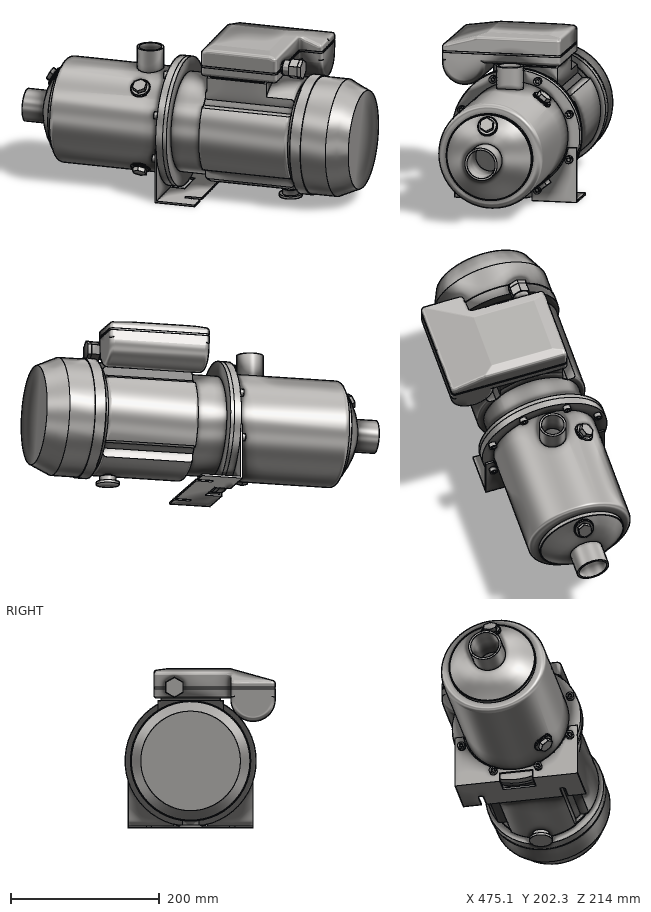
import cadquery as cq
import math


SUCTION_DIAMETER = 44.5
SUCTION_BORE = 38.95
SUCTION_LENGTH = 30.0
DOME_DIAMETER = 116.1
DOME_END_X = 48.2
DOME_COLLAR_DIAMETER = 118.5
CASING_FRONT_X = 53.2
CASING_FRONT_DIAMETER = 130.0
CASING_ROUND = 7.0
CASING_RADIUS = CASING_FRONT_DIAMETER / 2 + CASING_ROUND
FLANGE_X = 210.0
FLANGE_JOINT_X = 219.7
FLANGE_END_X = 225.0
FLANGE_DIAMETER = 176.5
DISCHARGE_X = 174.4
DISCHARGE_DIAMETER = 36.0
DISCHARGE_BORE = 30.29
DISCHARGE_TOP_Z = 101.0
INNER_CORE_RADIUS = 65.0

SCREW_COUNT = 8
SCREW_CIRCLE_RADIUS = 80.4
SCREW_SHANK = 7.0
SCREW_HEAD = 10.0
SCREW_HEAD_HEIGHT = 6.0
SCREW_SOCKET = 5.0
SCREW_SOCKET_DEPTH = 3.0

PLUG_FLANGE_DIAMETER = 27.0
PLUG_FLANGE_HEIGHT = 3.5
PLUG_SEAT_DEPTH = 2.0
PLUG_CHAMFER = 1.2
PLUG_HEX = 17.0
PLUG_PROJECTION = 7.5
PLUG_SIDE_ANGLE = 52.0
PLUG_DOME_ANGLE = 29.5

BOTTOM_Z = -90.0
SHEET = 2.5
BRACKET_HALF_WIDTH = 84.0
BRACKET_TOP_Z = -15.0
BRACKET_CLEARANCE_RADIUS = 74.0
FOOT_END_X = 263.7
WINDOW_WIDTH = 45.0
WINDOW_TOP_Z = -77.0
WINDOW_END_X = 230.0
FOOT_SLOT_WIDTH = 7.0
FOOT_SLOT_Y = 56.0
FOOT_SLOT_LENGTH = 19.0

ADAPTER_RADIUS = 68.0
STATOR_START_X = 266.0
STATOR_END_X = 391.0
STATOR_RADIUS = 76.3
STATOR_ROUND = 4.0
NOTCH_WALL = 44.0
NOTCH_CORNER = 50.5
REAR_SHIELD_RADIUS = 72.0
REAR_SHIELD_END_X = 394.0
REAR_SPIGOT_RADIUS = 66.0
COVER_START_X = 397.0
COVER_STEP_X = 411.5
COVER_TAPER_X = 446.8
MOTOR_END_X = 475.1
COVER_BAND_RADIUS = 81.0
COVER_RADIUS = 79.7
COVER_END_RADIUS = 67.0
PEDESTAL_START_X = 268.2
PEDESTAL_END_X = 352.0
PEDESTAL_TOP_Z = 81.0
NECK_INSET = 4.0
REAR_FOOT_X = 372.5
REAR_FOOT_LAYERS = [(31.0, -90.0, -86.5), (22.5, -86.5, -79.0), (10.0, -79.0, -70.0)]

BOX_START_X = 260.7
BOX_NARROW_END_X = 368.0
BOX_END_X = 399.7
BOX_MIN_Y = -49.5
BOX_STEP_Y = 54.0
BOX_MAX_Y = 114.0
BOX_BOTTOM_Z = 84.3
BOX_TOP_Z = 124.0
BOX_CORNER = 5.0
BOX_BOTTOM_ROUND = 4.0
PANEL_START_X = 274.3
PANEL_END_X = 353.3
PANEL_MIN_Y = -31.8
PANEL_MAX_Y = 54.0
SLOPE_START_X = 0.34
SLOPE_MIN_Y = 0.13
SLOPE_END_X = 0.36
SLOPE_MAX_Y = SLOPE_END_X * (BOX_END_X - PANEL_END_X) / (BOX_MAX_Y - PANEL_MAX_Y)
SEAM_Z = 98.0
SEAM_HEIGHT = 2.4
SEAM_DEPTH = 0.5
CAPACITOR_RADIUS = (BOX_MAX_Y - BOX_STEP_Y) / 2
CAPACITOR_ROUND = 6.5
CAPACITOR_BOTTOM_Z = 53.0
GLAND_Y = -21.8
GLAND_Z = 99.0
GLAND_DIAMETER = 21.0
GLAND_NECK_DIAMETER = 17.0
GLAND_NECK_END_X = 370.5
GLAND_NUT_X = 379.8
GLAND_END_X = 397.0
GLAND_NUT_FLATS = 23.0
GLAND_CAP_X = 392.0
GLAND_CAP_FLATS = 23.6

HEX_CORNERS = 2 / math.sqrt(3)


def block(x0, x1, y0, y1, z0, z1):
    """Box between two opposite corners."""
    return cq.Workplane("XY").box(x1 - x0, y1 - y0, z1 - z0, centered=False).translate((x0, y0, z0))


def disc(radius, x0, x1, y=0, z=0):
    """Cylinder along X from x0 to x1."""
    return cq.Workplane("YZ", origin=(x0, y, z)).circle(radius).extrude(x1 - x0)


def hex_bar(flats, x0, x1, y, z):
    """Hexagonal bar along X with two corners pointing up and down."""
    turned = cq.Workplane(cq.Plane((x0, y, z), xDir=(0, 0, 1), normal=(1, 0, 0)))
    return turned.polygon(6, flats * HEX_CORNERS).extrude(x1 - x0)


dome_radius_change = (DOME_DIAMETER**2 - SUCTION_DIAMETER**2) / 4
dome_length = DOME_END_X - SUCTION_LENGTH
dome_center_x = (SUCTION_LENGTH + DOME_END_X) / 2 + dome_radius_change / (2 * dome_length)
dome_radius = math.hypot(dome_center_x - DOME_END_X, DOME_DIAMETER / 2)


def dome_point(radius):
    """Profile point of the dome at a distance from the pump axis."""
    return (dome_center_x - math.sqrt(dome_radius**2 - radius**2), radius)


def make_plug(surface_point, direction):
    """Hexagon-headed plug whose flange sinks below the surface point."""
    toward_head = cq.Vector(*direction).normalized()
    seat = cq.Vector(*surface_point) - toward_head * PLUG_SEAT_DEPTH
    across = cq.Vector(0, 1, 0) if direction[1] == 0 else cq.Vector(1, 0, 0)
    side = toward_head.cross(across)
    base = cq.Workplane(cq.Plane(seat, xDir=side, normal=toward_head))
    flange = base.circle(PLUG_FLANGE_DIAMETER / 2).extrude(PLUG_FLANGE_HEIGHT)
    flange = flange.edges().filter(
        lambda edge: (edge.Center() - seat).dot(toward_head) > PLUG_FLANGE_HEIGHT / 2
    ).chamfer(PLUG_CHAMFER)
    head = base.polygon(6, PLUG_HEX * HEX_CORNERS).extrude(PLUG_SEAT_DEPTH + PLUG_PROJECTION)
    return flange.union(head)


def make_plugs():
    """One plug on the dome and two on the -Y side of the casing."""
    tilt = math.radians(PLUG_DOME_ANGLE)
    outward = (-math.cos(tilt), 0, math.sin(tilt))
    on_dome = (dome_center_x + dome_radius * outward[0], 0, dome_radius * outward[2])
    plugs = [make_plug(on_dome, outward)]
    for angle in (PLUG_SIDE_ANGLE, -PLUG_SIDE_ANGLE):
        y = -math.cos(math.radians(angle))
        z = math.sin(math.radians(angle))
        plugs.append(make_plug((DISCHARGE_X, CASING_RADIUS * y, CASING_RADIUS * z), (0, y, z)))
    return plugs


screw_positions = [
    (
        SCREW_CIRCLE_RADIUS * math.cos(math.radians((i + 0.5) * 360 / SCREW_COUNT)),
        SCREW_CIRCLE_RADIUS * math.sin(math.radians((i + 0.5) * 360 / SCREW_COUNT)),
    )
    for i in range(SCREW_COUNT)
]


def make_screw(y, z):
    """Socket-head screw; below the axis its head rests on the bracket sheet."""
    seat_x = FLANGE_X - (SHEET if z < 0 else 0)
    head_x = seat_x - SCREW_HEAD_HEIGHT
    screw = disc(SCREW_SHANK / 2, seat_x, FLANGE_JOINT_X, y, z)
    screw = screw.union(disc(SCREW_HEAD / 2, head_x, seat_x, y, z))
    return screw.cut(hex_bar(SCREW_SOCKET, head_x, head_x + SCREW_SOCKET_DEPTH, y, z))


def make_casing(plugs):
    """Suction pipe, domed cover, barrel, flange with screws, and discharge pipe."""
    suction_radius = SUCTION_DIAMETER / 2
    dome_edge = DOME_DIAMETER / 2
    collar = DOME_COLLAR_DIAMETER / 2
    front = CASING_FRONT_DIAMETER / 2
    round_middle = (
        CASING_FRONT_X + CASING_ROUND * (1 - math.sqrt(0.5)),
        front + CASING_ROUND * math.sqrt(0.5),
    )
    casing = (
        cq.Workplane("XY")
        .moveTo(0, 0)
        .lineTo(0, suction_radius)
        .lineTo(*dome_point(suction_radius))
        .threePointArc(dome_point((suction_radius + dome_edge) / 2), dome_point(dome_edge))
        .lineTo(DOME_END_X, collar)
        .lineTo(CASING_FRONT_X, collar)
        .lineTo(CASING_FRONT_X, front)
        .threePointArc(round_middle, (CASING_FRONT_X + CASING_ROUND, CASING_RADIUS))
        .lineTo(FLANGE_X, CASING_RADIUS)
        .lineTo(FLANGE_X, FLANGE_DIAMETER / 2)
        .lineTo(FLANGE_JOINT_X, FLANGE_DIAMETER / 2)
        .lineTo(FLANGE_JOINT_X, 0)
        .close()
        .revolve(360, (0, 0, 0), (1, 0, 0))
    )
    discharge = cq.Workplane("XY", origin=(DISCHARGE_X, 0, 0))
    casing = casing.union(discharge.circle(DISCHARGE_DIAMETER / 2).extrude(DISCHARGE_TOP_Z))
    bore = discharge.circle(DISCHARGE_BORE / 2).extrude(DISCHARGE_TOP_Z)
    casing = casing.cut(bore.cut(disc(INNER_CORE_RADIUS, CASING_FRONT_X, FLANGE_X)))
    casing = casing.cut(disc(SUCTION_BORE / 2, 0, CASING_FRONT_X))
    for y, z in screw_positions:
        casing = casing.union(make_screw(y, z))
    for plug in plugs:
        casing = casing.cut(plug)
    return casing


def make_bracket():
    """Bent sheet: a plate against the casing flange and a slotted foot."""
    front_x = FLANGE_X - SHEET
    half = BRACKET_HALF_WIDTH
    bracket = block(front_x, FLANGE_X, -half, half, BOTTOM_Z, BRACKET_TOP_Z)
    bracket = bracket.union(block(front_x, FOOT_END_X, -half, half, BOTTOM_Z, BOTTOM_Z + SHEET))
    bracket = bracket.cut(disc(BRACKET_CLEARANCE_RADIUS, front_x, FLANGE_X))
    bracket = bracket.cut(
        block(front_x, WINDOW_END_X, -WINDOW_WIDTH / 2, WINDOW_WIDTH / 2, BOTTOM_Z, WINDOW_TOP_Z)
    )
    for slot_y in (-FOOT_SLOT_Y, FOOT_SLOT_Y):
        slot = (
            cq.Workplane("XY", origin=(0, 0, BOTTOM_Z))
            .center(FOOT_END_X, slot_y)
            .slot2D(2 * FOOT_SLOT_LENGTH + FOOT_SLOT_WIDTH, FOOT_SLOT_WIDTH)
            .extrude(SHEET)
        )
        bracket = bracket.cut(slot)
    for y, z in screw_positions:
        bracket = bracket.cut(disc(SCREW_SHANK / 2, front_x, FLANGE_X, y, z))
    return bracket


def make_stator():
    """Round stator with a bevelled notch in each corner and rounded ends."""
    stator = disc(STATOR_RADIUS, STATOR_START_X, STATOR_END_X).edges().fillet(STATOR_ROUND)
    for side_y in (-1, 1):
        for side_z in (-1, 1):
            notch = (
                cq.Workplane("YZ", origin=(STATOR_START_X, 0, 0))
                .polyline([
                    (side_y * NOTCH_WALL, side_z * NOTCH_CORNER),
                    (side_y * NOTCH_CORNER, side_z * NOTCH_WALL),
                    (side_y * STATOR_RADIUS, side_z * NOTCH_WALL),
                    (side_y * STATOR_RADIUS, side_z * STATOR_RADIUS),
                    (side_y * NOTCH_WALL, side_z * STATOR_RADIUS),
                ])
                .close()
                .extrude(STATOR_END_X - STATOR_START_X)
            )
            stator = stator.cut(notch)
    return stator


def make_fan_cover():
    """Stepped and tapered cover at the rear of the motor."""
    return (
        cq.Workplane("XY")
        .polyline([
            (COVER_START_X, 0),
            (COVER_START_X, COVER_BAND_RADIUS),
            (COVER_STEP_X, COVER_BAND_RADIUS),
            (COVER_STEP_X, COVER_RADIUS),
            (COVER_TAPER_X, COVER_RADIUS),
            (MOTOR_END_X, COVER_END_RADIUS),
            (MOTOR_END_X, 0),
        ])
        .close()
        .revolve(360, (0, 0, 0), (1, 0, 0))
    )


def make_motor():
    """Flange, adapter, stator, fan cover, terminal box pedestal and rear foot."""
    motor = disc(FLANGE_DIAMETER / 2, FLANGE_JOINT_X, FLANGE_END_X)
    motor = motor.union(disc(ADAPTER_RADIUS, FLANGE_END_X, STATOR_START_X))
    motor = motor.union(make_stator())
    motor = motor.union(disc(REAR_SHIELD_RADIUS, STATOR_END_X, REAR_SHIELD_END_X))
    motor = motor.union(disc(REAR_SPIGOT_RADIUS, REAR_SHIELD_END_X, COVER_START_X))
    motor = motor.union(make_fan_cover())
    wall = NOTCH_WALL
    motor = motor.union(block(PEDESTAL_START_X, PEDESTAL_END_X, -wall, wall, 0, PEDESTAL_TOP_Z))
    neck = block(
        PEDESTAL_START_X + NECK_INSET, PEDESTAL_END_X - NECK_INSET,
        NECK_INSET - wall, wall - NECK_INSET, PEDESTAL_TOP_Z, BOX_BOTTOM_Z,
    )
    motor = motor.union(neck)
    for diameter, bottom, top in REAR_FOOT_LAYERS:
        layer = cq.Workplane("XY", origin=(REAR_FOOT_X, 0, bottom)).circle(diameter / 2)
        motor = motor.union(layer.extrude(top - bottom))
    return motor


def box_block(bottom, top, inset=0.0):
    """L-shaped block, wide on the +Y side, with sharp corners."""
    plan = (
        cq.Workplane("XY", origin=(0, 0, bottom))
        .polyline([
            (BOX_START_X + inset, BOX_MIN_Y + inset),
            (BOX_NARROW_END_X - inset, BOX_MIN_Y + inset),
            (BOX_NARROW_END_X - inset, BOX_STEP_Y + inset),
            (BOX_END_X - inset, BOX_STEP_Y + inset),
            (BOX_END_X - inset, BOX_MAX_Y - inset),
            (BOX_START_X + inset, BOX_MAX_Y - inset),
        ])
        .close()
    )
    return plan.extrude(top - bottom)


def make_lid_slopes():
    """Pyramid frustum whose sides are the sloping faces around the top panel."""
    drop = BOX_TOP_Z - SEAM_Z
    x0 = PANEL_START_X - drop / SLOPE_START_X
    x1 = PANEL_END_X + drop / SLOPE_END_X
    y0 = PANEL_MIN_Y - drop / SLOPE_MIN_Y
    y1 = PANEL_MAX_Y + drop / SLOPE_MAX_Y
    panel_x = (PANEL_START_X + PANEL_END_X) / 2
    panel_y = (PANEL_MIN_Y + PANEL_MAX_Y) / 2
    return (
        cq.Workplane("XY", origin=(0, 0, SEAM_Z))
        .center((x0 + x1) / 2, (y0 + y1) / 2)
        .rect(x1 - x0, y1 - y0)
        .workplane(offset=drop, origin=(panel_x, panel_y, SEAM_Z))
        .rect(PANEL_END_X - PANEL_START_X, PANEL_MAX_Y - PANEL_MIN_Y)
        .loft(ruled=True)
    )


def make_lid():
    """Upper half of the box with every edge above the seam rounded."""
    lid = box_block(SEAM_Z, BOX_TOP_Z).intersect(make_lid_slopes())
    return lid.edges("not <Z").fillet(BOX_CORNER)


def make_base():
    """Lower half of the box with the round-bottomed capacitor housing."""
    base = box_block(BOX_BOTTOM_Z, SEAM_Z).edges("|Z").fillet(BOX_CORNER)
    base = base.faces("<Z").edges().fillet(BOX_BOTTOM_ROUND)
    center_y = BOX_MAX_Y - CAPACITOR_RADIUS
    center_z = CAPACITOR_BOTTOM_Z + CAPACITOR_RADIUS
    capacitor = (
        cq.Workplane("YZ", origin=(BOX_START_X, 0, 0))
        .moveTo(BOX_MAX_Y, SEAM_Z)
        .lineTo(BOX_MAX_Y, center_z)
        .threePointArc(
            (center_y, CAPACITOR_BOTTOM_Z), (center_y - CAPACITOR_RADIUS, center_z)
        )
        .lineTo(center_y - CAPACITOR_RADIUS, SEAM_Z)
        .close()
        .extrude(BOX_END_X - BOX_START_X)
    )
    capacitor = capacitor.faces("<X or >X").edges("not >Z").fillet(CAPACITOR_ROUND)
    return base.union(capacitor)


def make_gland():
    """Cable gland on the +X wall of the narrow part."""
    gland = disc(GLAND_NECK_DIAMETER / 2, BOX_NARROW_END_X, GLAND_NECK_END_X, GLAND_Y, GLAND_Z)
    gland = gland.union(disc(GLAND_DIAMETER / 2, GLAND_NECK_END_X, GLAND_NUT_X, GLAND_Y, GLAND_Z))
    gland = gland.union(hex_bar(GLAND_NUT_FLATS, GLAND_NUT_X, GLAND_CAP_X, GLAND_Y, GLAND_Z))
    return gland.union(hex_bar(GLAND_CAP_FLATS, GLAND_CAP_X, GLAND_END_X, GLAND_Y, GLAND_Z))


def make_terminal_box():
    """Lid and base with a groove along their seam, and the cable gland."""
    box = make_lid().union(make_base())
    groove_bottom = SEAM_Z - SEAM_HEIGHT / 2
    groove_top = SEAM_Z + SEAM_HEIGHT / 2
    groove = block(BOX_START_X, BOX_END_X, BOX_MIN_Y, BOX_MAX_Y, groove_bottom, groove_top)
    core = box_block(groove_bottom, groove_top, SEAM_DEPTH)
    groove = groove.cut(core.edges("|Z").fillet(BOX_CORNER - SEAM_DEPTH))
    return box.cut(groove).union(make_gland())


plugs = make_plugs()
casing = make_casing(plugs)
bracket = make_bracket()
motor = make_motor()
terminal_box = make_terminal_box()

result = cq.Compound.makeCompound([
    casing.val(),
    *[plug.val() for plug in plugs],
    bracket.val(),
    motor.val(),
    terminal_box.val(),
])